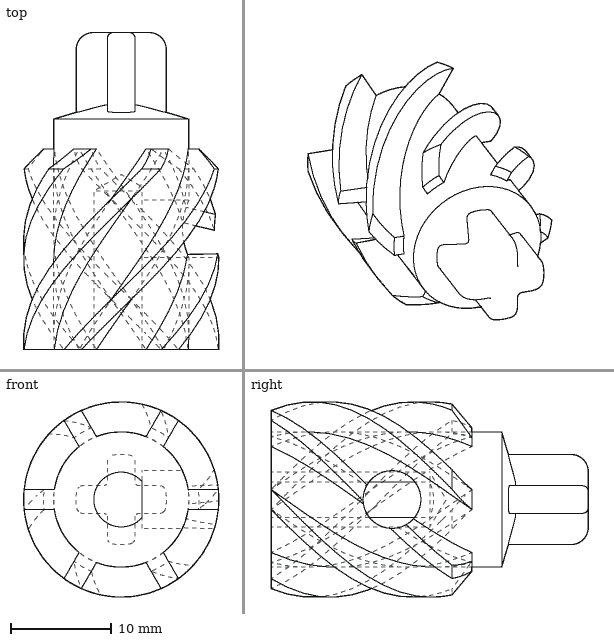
import cadquery as cq

total_length = 31.6
body_diameter = 13.5
body_length = 22.97
cone_height = 2.02

fin_count = 6
fin_diameter = 19.45
fin_width = 2.0
fin_length = 20.0
fin_twist = 120.0
fin_chamfer = 2.0

shaft_diameter = 9.0
shaft_end_radius = 1.75
arm_width = 2.75
arm_edge_radius = 0.6
arm_root_radius = 0.4

bore_diameter = 5.47
bore_flat_offset = 2.1
bore_depth = 15.8
bore_tip_height = 1.65
side_hole_diameter = 5.75
side_hole_position = 12.05

axial_plane = cq.Plane(origin=(0, 0, 0), xDir=(1, 0, 0), normal=(0, 1, 0))


def revolve_about_y(profile):
    return profile.close().revolve(360, (0, 0, 0), (0, 1, 0))


def make_body():
    radius = body_diameter / 2
    return revolve_about_y(
        cq.Workplane("XY")
        .lineTo(radius, 0)
        .lineTo(radius, body_length)
        .lineTo(0, body_length + cone_height)
    )


def make_fins():
    outer_radius = fin_diameter / 2
    bar = (
        cq.Workplane(axial_plane)
        .rect(fin_diameter + fin_width, fin_width)
        .twistExtrude(fin_length, fin_twist)
    )
    envelope = revolve_about_y(
        cq.Workplane("XY")
        .lineTo(outer_radius, 0)
        .lineTo(outer_radius, fin_length - fin_chamfer)
        .lineTo(outer_radius - fin_chamfer, fin_length)
        .lineTo(0, fin_length)
    )
    trimmed_bar = bar.intersect(envelope)
    fins = trimmed_bar
    for index in range(1, fin_count // 2):
        angle = index * 360 / fin_count
        fins = fins.union(trimmed_bar.rotate((0, 0, 0), (0, 1, 0), angle))
    return fins


def make_shaft():
    length = total_length - fin_length
    base = cq.Workplane(axial_plane).workplane(offset=fin_length)
    rounded_rod = base.circle(shaft_diameter / 2).extrude(length)
    rounded_rod = rounded_rod.faces(">Y").edges().fillet(shaft_end_radius)

    cross = base.rect(shaft_diameter, arm_width).extrude(length)
    cross = cross.union(base.rect(arm_width, shaft_diameter).extrude(length))
    root_zone = cq.selectors.BoxSelector(
        (-arm_width, 0, -arm_width),
        (arm_width, total_length, arm_width),
    )
    cross = cross.edges("|Y").edges(root_zone).fillet(arm_root_radius)

    shaft = cross.intersect(rounded_rod)
    return shaft.faces(">Y").edges().fillet(arm_edge_radius)


def make_bore():
    radius = bore_diameter / 2
    bore = revolve_about_y(
        cq.Workplane("XY")
        .lineTo(radius, 0)
        .lineTo(radius, bore_depth)
        .lineTo(0, bore_depth + bore_tip_height)
    )
    beyond_flat = (
        cq.Workplane("XY")
        .box(bore_diameter, total_length, bore_diameter, centered=(False, False, True))
        .translate((bore_flat_offset, 0, 0))
    )
    return bore.cut(beyond_flat)


def make_side_hole():
    return (
        cq.Workplane("YZ", origin=(bore_flat_offset, 0, 0))
        .center(side_hole_position, 0)
        .circle(side_hole_diameter / 2)
        .extrude(fin_diameter / 2)
    )


solid_part = make_body().union(make_fins()).union(make_shaft())
result = solid_part.cut(make_bore()).cut(make_side_hole())